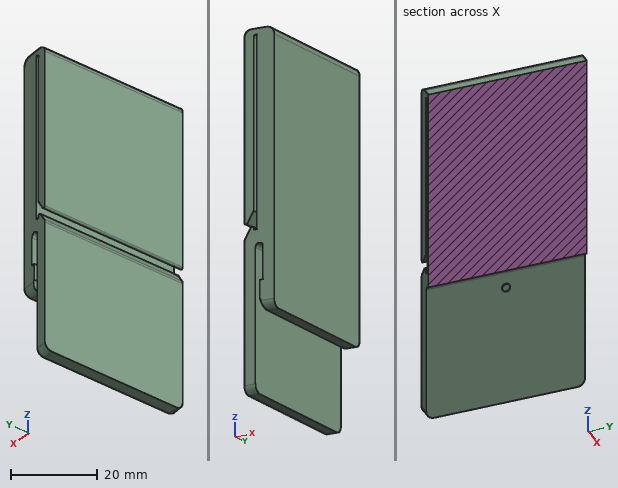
import cadquery as cq
import math

thickness = 8.0
width = 40.0
height = 88.0

flap_thickness = 2.5
upper_slot_width = 0.8
upper_slot_floor_z = 39.4
upper_slot_top_z = 86.5
upper_slot_x = flap_thickness + upper_slot_width

mouth_angle = math.radians(31)
flap_slant_top_z = 43.9
hook_slant_bottom_z = 37.05

tongue_thickness = 3.0
lower_slot_width = 2.0
lower_slot_top_z = 36.0
lower_slot_x = tongue_thickness + lower_slot_width
lip_x = 4.2
lip_top_z = 27.0
lip_taper_height = 2.4
leg_end_x = 5.0
leg_bottom_z = 20.0

top_radius = 2.0
corner_radius = 2.0
flap_tip_radius = 0.45
hook_tip_radius = 0.4
hook_root_radius = 1.6
upper_slot_top_radius = 0.6
upper_slot_floor_radius = 0.2
lower_slot_radius = 0.99 * lower_slot_width / 2

pad_diameter = 2.0
pad_height = 0.3
pad_z = 31.0

slant_rise = flap_thickness / math.tan(mouth_angle)
flap_tip = (0, flap_slant_top_z - slant_rise)
hook_tip = (flap_thickness, hook_slant_bottom_z + slant_rise)
hook_root = (0, hook_slant_bottom_z)


def round_edges(body, points, radius):
    """Fillet the edges that run along Y through the given (x, z) points."""
    reach = 0.01
    for x, z in points:
        box = cq.selectors.BoxSelector(
            (x - reach, -width, z - reach), (x + reach, width, z + reach)
        )
        body = body.edges(box).fillet(radius)
    return body


def clip_body():
    """Sharp-cornered clip profile extruded across the width."""
    outline = [
        (0, 0),
        hook_root,
        hook_tip,
        (flap_thickness, upper_slot_floor_z),
        (upper_slot_x, upper_slot_floor_z),
        (upper_slot_x, upper_slot_top_z),
        (flap_thickness, upper_slot_top_z),
        (flap_thickness, flap_slant_top_z),
        flap_tip,
        (0, height),
        (thickness, height),
        (thickness, leg_bottom_z),
        (leg_end_x, leg_bottom_z),
        (lip_x, leg_bottom_z + lip_taper_height),
        (lip_x, lip_top_z),
        (lower_slot_x, lip_top_z),
        (lower_slot_x, lower_slot_top_z),
        (tongue_thickness, lower_slot_top_z),
        (tongue_thickness, 0),
    ]
    return cq.Workplane("XZ").polyline(outline).close().extrude(width / 2, both=True)


def round_profile(body):
    """Round the top, the slanted tips, the hook root and the slot ends."""
    body = round_edges(body, [(0, height), (thickness, height)], top_radius)
    body = round_edges(body, [flap_tip], flap_tip_radius)
    body = round_edges(body, [hook_tip], hook_tip_radius)
    body = round_edges(body, [hook_root], hook_root_radius)
    body = round_edges(body, [(flap_thickness, upper_slot_floor_z)], upper_slot_floor_radius)
    body = round_edges(body, [(flap_thickness, upper_slot_top_z)], upper_slot_top_radius)
    lower_slot_top = [(x, lower_slot_top_z) for x in (tongue_thickness, lower_slot_x)]
    return round_edges(body, lower_slot_top, lower_slot_radius)


def corner_rounder(x_start, x_end, bottom_z):
    """Plate with rounded lower corners that trims one leg to shape."""
    plate_height = height - bottom_z
    return (
        cq.Workplane("XY")
        .box(x_end - x_start, width, plate_height, centered=(False, True, False))
        .edges("|X and <Z")
        .fillet(corner_radius)
        .translate((x_start, 0, bottom_z))
    )


def round_leg_corners(body):
    """Round the lower corners of the tongue and of the rear leg."""
    split_x = (tongue_thickness + lip_x) / 2
    tongue_limit = corner_rounder(0, split_x, 0)
    leg_limit = corner_rounder(split_x, thickness, leg_bottom_z)
    return body.intersect(tongue_limit.union(leg_limit))


def pad():
    """Round pad standing on the tongue's inner face."""
    return (
        cq.Workplane("YZ", origin=(tongue_thickness, 0, 0))
        .center(0, pad_z)
        .circle(pad_diameter / 2)
        .extrude(pad_height)
    )


result = round_leg_corners(round_profile(clip_body())).union(pad())